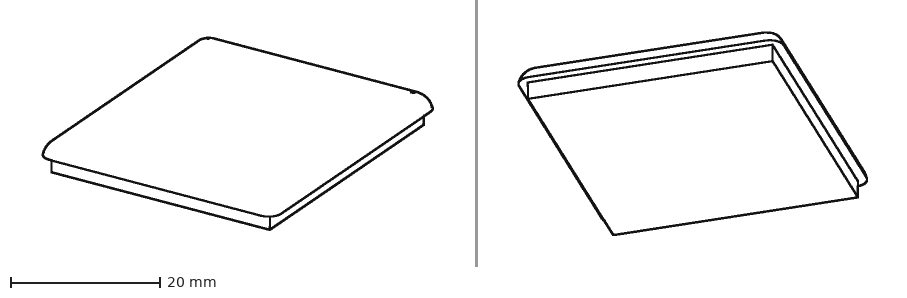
import cadquery as cq

cap_width = 37.05
cap_length = 42.55
cap_height = 2.5
edge_radius = 2.98
corner_radius = 2.0
plug_margin = 1.4
plug_height = 2.5
tilt_angle = 0.62

center_depth = edge_radius - cap_height
arc_overhang = edge_radius - (edge_radius**2 - center_depth**2) ** 0.5


def make_cap():
    """Pillow-edged cap with its underside on Z = 0."""
    block_width = cap_width + 2 * arc_overhang
    block_length = cap_length + 2 * arc_overhang
    block_height = 2 * edge_radius
    block = (
        cq.Workplane("XY")
        .workplane(offset=cap_height - block_height)
        .rect(block_width, block_length)
        .extrude(block_height)
    )
    rounded = block.faces(">Z").edges().fillet(edge_radius)
    below_cap = cq.Workplane("XY").rect(block_width, block_length).extrude(-block_height)
    cap = rounded.cut(below_cap)
    return cap.edges("not(#Z)").fillet(corner_radius)


def make_plug():
    """Rectangular plug hanging below the cap."""
    plug_width = cap_width - 2 * plug_margin
    plug_length = cap_length - 2 * plug_margin
    return cq.Workplane("XY").rect(plug_width, plug_length).extrude(-plug_height)


level_part = make_cap().union(make_plug())
result = level_part.rotate((0, 0, 0), (0, 1, 0), tilt_angle)